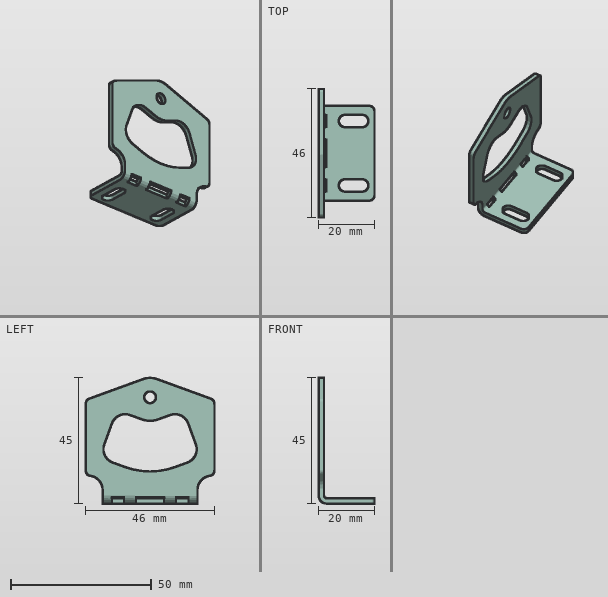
import cadquery as cq
import math

thickness = 2.0
bend_inner_radius = 1.0
bend_outer_radius = bend_inner_radius + thickness
corner_radius = 2.0

plate_half_width = 23.0
plate_height = 45.0
flange_length = 20.0
flange_half_width = 16.97
slope = math.radians(20)
sin_slope = math.sin(slope)
cos_slope = math.cos(slope)
apex_radius = 7.0
neck_radius = 5.0
neck_start_z = 4.95

hole_diameter = 4.1
hole_z = plate_height - apex_radius

lobe_radius = 5.0
upper_lobe_y = 8.9
upper_lobe_z = 26.9
lower_lobe_y = 11.6
lower_lobe_z = upper_lobe_z - (lower_lobe_y - upper_lobe_y) / math.tan(slope)
bottom_arc_radius = 26.0

slot_y = 11.5
slot_width = 4.32
slot_start_x = 7.25
slot_end_x = 17.75
middle_window_width = 10.0
window_margin = math.radians(11.5)


def polar(center, radius, angle):
    """Point on a circle, with the angle in radians from the first axis."""
    return (center[0] + radius * math.cos(angle), center[1] + radius * math.sin(angle))


def extrude_symmetric(half_path, length):
    """Extrude the +Y half of an outline along X and join it to its mirror image.
    The first step holds the start point; later ones hold (end,) for a line
    or (middle, end) for an arc. The path starts and ends on the axis."""
    wire = cq.Workplane("YZ").moveTo(*half_path[0][0])
    for step in half_path[1:]:
        wire = wire.lineTo(*step[0]) if len(step) == 1 else wire.threePointArc(*step)
    half = wire.close().extrude(length)
    return half.union(half.mirror("XZ")).clean()


def arc_step(center, radius, start, end):
    """Arc step of a path, running between two angles on a circle."""
    return (polar(center, radius, (start + end) / 2), polar(center, radius, end))


up = math.pi / 2
roof_normal = up - slope


def make_plate_blank():
    apex = (0, hole_z)
    corner_y = plate_half_width - corner_radius
    roof_offset = apex_radius - corner_radius
    upper_corner = (corner_y, hole_z + (roof_offset - corner_y * sin_slope) / cos_slope)
    neck = (flange_half_width + neck_radius, neck_start_z)
    center_distance = neck_radius + corner_radius
    rise = math.sqrt(center_distance**2 - (neck[0] - corner_y) ** 2)
    lower_corner = (corner_y, neck_start_z + rise)
    neck_angle = math.atan2(rise, corner_y - neck[0])
    return extrude_symmetric([
        ((0, plate_height),),
        arc_step(apex, apex_radius, up, roof_normal),
        (polar(upper_corner, corner_radius, roof_normal),),
        arc_step(upper_corner, corner_radius, roof_normal, 0),
        (polar(lower_corner, corner_radius, 0),),
        arc_step(lower_corner, corner_radius, 0, neck_angle - math.pi),
        arc_step(neck, neck_radius, neck_angle, math.pi),
        ((flange_half_width, 0),),
        ((0, 0),),
    ], flange_length)


def make_opening():
    dip = (0, hole_z)
    upper_lobe = (upper_lobe_y, upper_lobe_z)
    lower_lobe = (lower_lobe_y, lower_lobe_z)
    lobe_normal = up + slope
    dip_radius = upper_lobe_y * sin_slope + (hole_z - upper_lobe_z) * cos_slope - lobe_radius
    bottom_normal = slope - up
    bottom_center_z = (
        lower_lobe_z
        + (bottom_arc_radius - lobe_radius - lower_lobe_y * sin_slope) / cos_slope
    )
    bottom = (0, bottom_center_z)
    return extrude_symmetric([
        ((0, hole_z - dip_radius),),
        arc_step(dip, dip_radius, -up, lobe_normal - math.pi),
        (polar(upper_lobe, lobe_radius, lobe_normal),),
        arc_step(upper_lobe, lobe_radius, lobe_normal, slope),
        (polar(lower_lobe, lobe_radius, slope),),
        arc_step(lower_lobe, lobe_radius, slope, bottom_normal),
        (polar(bottom, bottom_arc_radius, bottom_normal),),
        arc_step(bottom, bottom_arc_radius, bottom_normal, -up),
    ], thickness)


def make_bent_sheet():
    """L-shaped sheet with the plate outline and a rounded flange."""
    profile = (
        cq.Workplane("XZ")
        .polyline([
            (0, 0),
            (flange_length, 0),
            (flange_length, thickness),
            (thickness, thickness),
            (thickness, plate_height),
            (0, plate_height),
        ])
        .close()
    )
    sheet = profile.extrude(plate_half_width, both=True)
    sheet = sheet.edges(cq.selectors.NearestToPointSelector((0, 0, 0))).fillet(bend_outer_radius)
    inner_edge = cq.selectors.NearestToPointSelector((thickness, 0, thickness))
    sheet = sheet.edges(inner_edge).fillet(bend_inner_radius)
    sheet = sheet.intersect(make_plate_blank())
    return sheet.edges("|Z and >X").fillet(corner_radius)


def make_flange_slots():
    return (
        cq.Workplane("XY")
        .pushPoints([((slot_start_x + slot_end_x) / 2, y) for y in (-slot_y, slot_y)])
        .slot2D(slot_end_x - slot_start_x, slot_width)
        .extrude(thickness)
    )


def make_bend_window(center_y, width):
    """Wedge from the bend axis, so that the window ends are radial to the bend."""
    bend_axis = (bend_outer_radius, bend_outer_radius)
    reach = 2 * bend_outer_radius
    wedge = cq.Workplane("XZ", origin=(0, center_y, 0)).polyline([
        bend_axis,
        polar(bend_axis, reach, math.pi + window_margin),
        (-reach, -reach),
        polar(bend_axis, reach, 1.5 * math.pi - window_margin),
    ])
    return wedge.close().extrude(width / 2, both=True)


result = make_bent_sheet()
result = result.cut(make_opening())
hole = cq.Workplane("YZ").center(0, hole_z).circle(hole_diameter / 2).extrude(thickness)
result = result.cut(hole).cut(make_flange_slots())
for window_y, window_width in (
    (-slot_y, slot_width),
    (0, middle_window_width),
    (slot_y, slot_width),
):
    result = result.cut(make_bend_window(window_y, window_width))